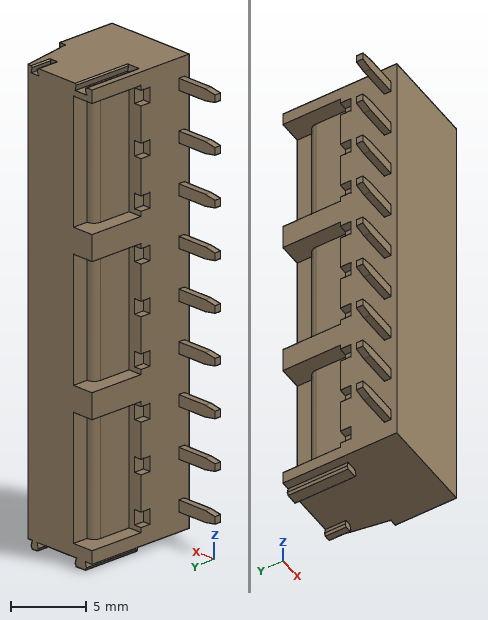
import cadquery as cq

overall_height = 34.85
body_width = 7.42
body_depth = 9.0
body_height = 34.2

relief_start_y = 4.85
relief_foot_x = 6.85
relief_top_x = 6.15

pin_count = 9
pitch = body_height / pin_count

recess_count = 3
recess_pitch = body_height / recess_count
recess_margin = 0.98
recess_height = recess_pitch - 2 * recess_margin
recess_start_y = 4.45
ledge_end_y = 7.75
ledge_radius = 0.63
recess_depth = 1.78
ledge_depth = recess_depth - ledge_radius

notch_width = 0.85
notch_height = 1.1
notch_depth = 0.63

pin_length = 3.5
pin_height = 0.87
pin_thickness = 0.52
pin_start_y = 0.45
pin_taper = 0.95
pin_tip_height = 0.55

rib_height = overall_height - body_height
rib_swell = 0.1
rib_swell_height = 0.42
large_rib = (1.08, 0.87, 4.75)
small_rib = (5.5, 0.5, 1.65)
groove_extra_length = 0.1
groove_depth = 0.52
groove_chamfer = 0.1


def make_body():
    """Housing block with the sloped rear corner."""
    outline = [
        (0, 0),
        (body_width, 0),
        (body_width, relief_start_y),
        (relief_foot_x, relief_start_y),
        (relief_top_x, body_depth),
        (0, body_depth),
    ]
    return cq.Workplane("XY").polyline(outline).close().extrude(body_height)


def recess_cutter(base_z):
    """Stepped recess with a rounded ledge, open toward -X and +Y."""
    return (
        cq.Workplane("XY", origin=(0, 0, base_z))
        .moveTo(0, recess_start_y)
        .lineTo(ledge_depth, recess_start_y)
        .lineTo(ledge_depth, ledge_end_y - ledge_radius)
        .radiusArc((recess_depth, ledge_end_y), ledge_radius)
        .lineTo(recess_depth, body_depth)
        .lineTo(0, body_depth)
        .close()
        .extrude(recess_height)
    )


def notch_cutter(centre_z):
    """Shallow notch beside a recess."""
    return (
        cq.Workplane("XY", origin=(0, recess_start_y - notch_width, centre_z))
        .box(notch_depth, notch_width, notch_height, centered=(False, False, True))
    )


def make_pin(centre_z):
    """Flat pin that tapers to a blunt tip."""
    half = pin_height / 2
    half_tip = pin_tip_height / 2
    taper_x = pin_taper - pin_length
    outline = [
        (0, -half),
        (taper_x, -half),
        (-pin_length, -half_tip),
        (-pin_length, half_tip),
        (taper_x, half),
        (0, half),
    ]
    return (
        cq.Workplane("XZ", origin=(0, pin_start_y, centre_z))
        .polyline(outline)
        .close()
        .extrude(-pin_thickness)
    )


def make_rib(centre_x, neck_width, length):
    """Rib under the housing, narrow at the root and swelling before a chamfered edge."""
    neck = neck_width / 2
    swell = neck + rib_swell
    outline = [
        (-neck, 0),
        (-swell, -rib_swell_height),
        (-neck, -rib_height),
        (neck, -rib_height),
        (swell, -rib_swell_height),
        (neck, 0),
    ]
    return (
        cq.Workplane("XZ", origin=(centre_x, body_depth, 0))
        .polyline(outline)
        .close()
        .extrude(length)
    )


def groove_cutter(centre_x, neck_width, length):
    """Groove in the top that receives a rib, undercut below a chamfered mouth."""
    neck = neck_width / 2
    swell = neck + rib_swell
    mouth = neck + groove_chamfer
    outline = [
        (-mouth, 0),
        (-neck, -groove_chamfer),
        (-swell, -groove_depth),
        (swell, -groove_depth),
        (neck, -groove_chamfer),
        (mouth, 0),
    ]
    return (
        cq.Workplane("XZ", origin=(centre_x, body_depth, body_height))
        .polyline(outline)
        .close()
        .extrude(length)
    )


result = make_body()

for index in range(recess_count):
    result = result.cut(recess_cutter(index * recess_pitch + recess_margin))

for index in range(pin_count):
    pin_z = (index + 0.5) * pitch
    result = result.cut(notch_cutter(pin_z))
    result = result.union(make_pin(pin_z))

for centre_x, neck_width, length in (large_rib, small_rib):
    result = result.union(make_rib(centre_x, neck_width, length))
    result = result.cut(groove_cutter(centre_x, neck_width, length + groove_extra_length))